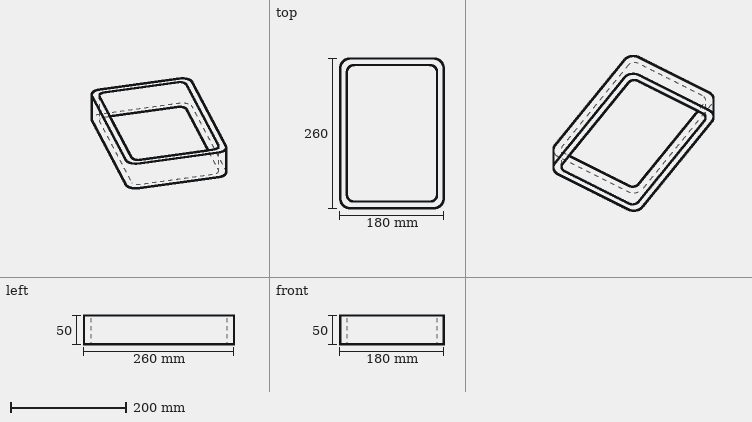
import cadquery as cq

width = 180.0
length = 260.0
height = 50.0

wall = 12.0
outer_radius = 18.0
inner_radius = 12.0


def rounded_block(size_x, size_y, corner_radius):
    """Full-height rectangular block with rounded vertical edges."""
    block = cq.Workplane("XY").rect(size_x, size_y).extrude(height)
    return block.edges("|Z").fillet(corner_radius)


outer_block = rounded_block(width, length, outer_radius)
opening = rounded_block(width - 2 * wall, length - 2 * wall, inner_radius)
result = outer_block.cut(opening)